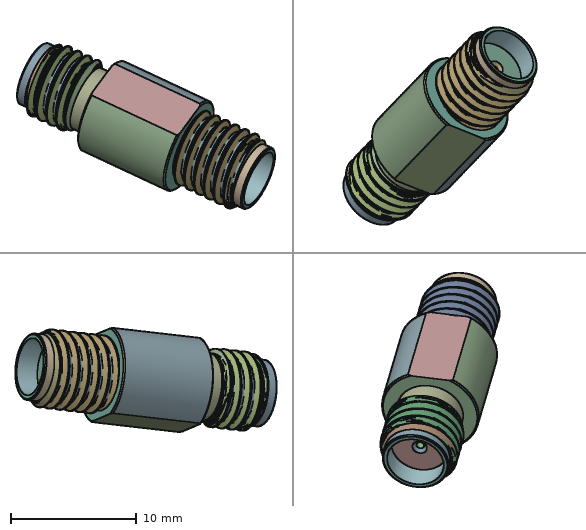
import cadquery as cq
import math


total_length = 20.9
body_length = 8.12
left_shank_length = 6.38
left_end = -total_length / 2
right_end = total_length / 2
body_left = left_end + left_shank_length
body_right = body_left + body_length

body_diameter = 7.9
across_flats = 7.0
body_chamfer = 0.12

shank_diameter = 5.38
shank_radius = shank_diameter / 2

major_diameter = 6.35
pitch = 25.4 / 28
root_flat = pitch / 4
crest_flat = pitch / 8
crest_radius = major_diameter / 2
root_clearance = 0.005
root_radius = shank_radius + root_clearance
spiral_steps = 6
plain_end_length = 0.79
neck_length = 1.38
left_thread_start = left_end + plain_end_length
left_thread_end = body_left - neck_length
right_thread_start = body_right
right_thread_end = right_end - plain_end_length
left_crest_offset = 1.965
right_crest_offset = 14.75
left_crest_at_top = left_end + left_crest_offset
right_crest_at_top = left_end + right_crest_offset

end_chamfer = 0.1
taper_length = 0.8

bore_diameter = 4.6
socket_depth = 1.85
insulator_left = left_end + socket_depth
insulator_right = right_end - socket_depth

contact_diameter = 1.18
contact_bore_diameter = 0.62
contact_mouth_depth = (contact_diameter - contact_bore_diameter) / 2


def cylinder_along_x(diameter, start, end):
    plane = cq.Workplane("YZ", origin=(start, 0, 0))
    return plane.circle(diameter / 2).extrude(end - start)


def polar_point(radius, angle):
    """Point of a YZ section, with the angle turning from +Y towards +Z."""
    return (radius * math.cos(angle), radius * math.sin(angle))


def spiral_points(start_radius, start_angle, end_radius, end_angle):
    """Points after the first one along a thread flank, which cuts a YZ section in a spiral."""
    points = []
    for step in range(1, spiral_steps + 1):
        share = step / spiral_steps
        radius = start_radius + (end_radius - start_radius) * share
        angle = start_angle + (end_angle - start_angle) * share
        points.append(polar_point(radius, angle))
    return points


def thread_section(start, crest_at_top):
    """Cam-shaped YZ section at X = start of a thread whose crest passes +Z at crest_at_top."""
    full_turn = 2 * math.pi
    crest_angle = full_turn / 4 + full_turn * (start - crest_at_top) / pitch
    root_angle = crest_angle + full_turn / 2
    crest_half = full_turn * crest_flat / pitch / 2
    root_half = full_turn * root_flat / pitch / 2
    crest_begin = crest_angle - crest_half
    crest_end = crest_angle + crest_half
    root_begin = root_angle - root_half
    root_end = root_angle + root_half

    section = cq.Workplane("YZ", origin=(start, 0, 0)).moveTo(*polar_point(crest_radius, crest_begin))
    section = section.threePointArc(
        polar_point(crest_radius, crest_angle), polar_point(crest_radius, crest_end)
    )
    section = section.spline(
        spiral_points(crest_radius, crest_end, root_radius, root_begin), includeCurrent=True
    )
    section = section.threePointArc(
        polar_point(root_radius, root_angle), polar_point(root_radius, root_end)
    )
    section = section.spline(
        spiral_points(root_radius, root_end, crest_radius, crest_begin + full_turn), includeCurrent=True
    )
    return section.close()


def make_thread(start, end, crest_at_top, tapered_ends):
    """Right-handed thread, tapered at 45 degrees down to the shank at the selected end faces."""
    length = end - start
    thread = thread_section(start, crest_at_top).twistExtrude(length, 360 * length / pitch)
    envelope = cylinder_along_x(2 * (shank_radius + taper_length), start, end)
    envelope = envelope.faces(tapered_ends).chamfer(taper_length)
    return thread.intersect(envelope)


def make_body():
    body = cylinder_along_x(body_diameter, body_left, body_right)
    body = body.faces("<X or >X").chamfer(body_chamfer)
    flats = cq.Workplane("XY").box(total_length, 2 * body_diameter, across_flats)
    return body.intersect(flats)


def make_housing():
    shank = cylinder_along_x(shank_diameter, left_end, right_end)
    shank = shank.faces("<X or >X").chamfer(end_chamfer)
    left_thread = make_thread(left_thread_start, left_thread_end, left_crest_at_top, "<X or >X")
    right_thread = make_thread(right_thread_start, right_thread_end, right_crest_at_top, ">X")
    housing = shank.union(left_thread).union(right_thread).union(make_body())
    return housing.cut(cylinder_along_x(bore_diameter, left_end, right_end))


def make_insulator():
    insulator = cylinder_along_x(bore_diameter, insulator_left, insulator_right)
    return insulator.cut(cylinder_along_x(contact_diameter, insulator_left, insulator_right))


def make_contact():
    """Tube flush with the insulator, its bore flared out to the full diameter at both mouths."""
    outer = contact_diameter / 2
    inner = contact_bore_diameter / 2
    half_section = cq.Workplane("XY").polyline([
        (insulator_left, outer),
        (insulator_left + contact_mouth_depth, inner),
        (insulator_right - contact_mouth_depth, inner),
        (insulator_right, outer),
    ]).close()
    return half_section.revolve(360, (0, 0, 0), (1, 0, 0))


housing = make_housing().solids()
insulator = make_insulator().solids()
contact = make_contact().solids()

result = cq.Compound.makeCompound([housing.val(), insulator.val(), contact.val()])